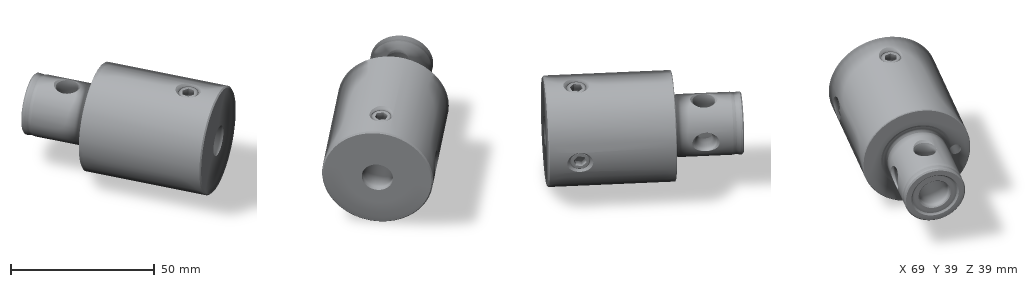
import cadquery as cq
import math

TOTAL_LENGTH = 69.0
SHOULDER_X = 24.1
BODY_RADIUS = 39.0 / 2
FRONT_CHAMFER = 0.3
REAR_CHAMFER = 0.5
SHANK_RADIUS = 22.0 / 2
NECK_RADIUS = 21.6 / 2
NOSE_CHAMFER = 0.5

GROOVE_START_X = 1.2
GROOVE_BOTTOM_X = 2.6
GROOVE_END_X = 3.8

NECK_TAPER_START_X = 22.55
NECK_START_X = 23.2
NECK_FILLET = 0.4
RECESS_DEPTH = 0.2
RECESS_RADIUS = 25.9 / 2
RECESS_FLOOR_RADIUS = 24.4 / 2

BORE_RADIUS = 11.0 / 2
BORE_CHAMFER = 0.35
MOUTH_RADIUS = 17.2 / 2
MOUTH_FLOOR_RADIUS = 15.95 / 2
MOUTH_DEPTH = MOUTH_RADIUS - MOUTH_FLOOR_RADIUS

SEAT_X = 13.4
SEAT_RADIUS = 8.0 / 2
SEAT_TAPER_ANGLE = 34.0
SEAT_BOTTOM_HEIGHT = 4.15
SEAT_RIM_HEIGHT = math.sqrt(SHANK_RADIUS**2 - SEAT_RADIUS**2)

DRIVE_HOLE_RADIUS = 4.1 / 2
DRIVE_HOLE_Y = -14.1
DRIVE_HOLE_DEPTH = 6.9
DRILL_POINT_ANGLE = 118.0

SCREW_X = 57.95
SCREW_RADIUS = 6.9 / 2
SCREW_TOP_HEIGHT = 18.35
SCREW_LENGTH = 6.9
SCREW_CHAMFER = 0.2
SCREW_SINK_HEIGHT = 18.4
SOCKET_FLATS = 4.0
SOCKET_DEPTH = 2.75
SOCKET_TURN = -12.5

RADIAL_ANGLES = (0.0, -90.0)


def turned_about_x(solid, angle):
    return solid.rotate((0, 0, 0), (1, 0, 0), angle)


def revolved_upright(points, x):
    """Revolve (radius, height) points about the vertical line at x."""
    return cq.Workplane("XZ").polyline(points).close().revolve(360, (0, 0), (0, 1)).translate((x, 0, 0))


def turned_body():
    recess_floor_x = SHOULDER_X + RECESS_DEPTH
    fillet_radius_inset = NECK_FILLET * (1 - math.sqrt(0.5))
    return (
        cq.Workplane("XY")
        .moveTo(MOUTH_DEPTH + BORE_CHAMFER, BORE_RADIUS)
        .lineTo(MOUTH_DEPTH, BORE_RADIUS + BORE_CHAMFER)
        .lineTo(MOUTH_DEPTH, MOUTH_FLOOR_RADIUS)
        .lineTo(0, MOUTH_RADIUS)
        .lineTo(0, SHANK_RADIUS - NOSE_CHAMFER)
        .lineTo(NOSE_CHAMFER, SHANK_RADIUS)
        .lineTo(GROOVE_START_X, SHANK_RADIUS)
        .lineTo(GROOVE_BOTTOM_X, NECK_RADIUS)
        .lineTo(GROOVE_END_X, SHANK_RADIUS)
        .lineTo(NECK_TAPER_START_X, SHANK_RADIUS)
        .lineTo(NECK_START_X, NECK_RADIUS)
        .lineTo(recess_floor_x - NECK_FILLET, NECK_RADIUS)
        .threePointArc(
            (recess_floor_x - fillet_radius_inset, NECK_RADIUS + fillet_radius_inset),
            (recess_floor_x, NECK_RADIUS + NECK_FILLET),
        )
        .lineTo(recess_floor_x, RECESS_FLOOR_RADIUS)
        .lineTo(SHOULDER_X, RECESS_RADIUS)
        .lineTo(SHOULDER_X, BODY_RADIUS - FRONT_CHAMFER)
        .lineTo(SHOULDER_X + FRONT_CHAMFER, BODY_RADIUS)
        .lineTo(TOTAL_LENGTH - REAR_CHAMFER, BODY_RADIUS)
        .lineTo(TOTAL_LENGTH, BODY_RADIUS - REAR_CHAMFER)
        .lineTo(TOTAL_LENGTH, BORE_RADIUS)
        .close()
        .revolve(360, (0, 0), (1, 0))
    )


def seat_cutter():
    countersink_top = SEAT_RIM_HEIGHT + SEAT_RADIUS
    taper_length = SEAT_RIM_HEIGHT - SEAT_BOTTOM_HEIGHT
    bottom_radius = SEAT_RADIUS - taper_length * math.tan(math.radians(SEAT_TAPER_ANGLE / 2))
    return revolved_upright(
        [
            (0, SEAT_BOTTOM_HEIGHT),
            (bottom_radius, SEAT_BOTTOM_HEIGHT),
            (SEAT_RADIUS, SEAT_RIM_HEIGHT),
            (2 * SEAT_RADIUS, countersink_top),
            (0, countersink_top),
        ],
        SEAT_X,
    )


def screw_hole_cutter():
    countersink_top = SCREW_SINK_HEIGHT + SCREW_RADIUS
    hole_bottom = SCREW_TOP_HEIGHT - SCREW_LENGTH
    return revolved_upright(
        [
            (0, hole_bottom),
            (SCREW_RADIUS, hole_bottom),
            (SCREW_RADIUS, SCREW_SINK_HEIGHT),
            (2 * SCREW_RADIUS, countersink_top),
            (0, countersink_top),
        ],
        SCREW_X,
    )


def drive_hole_cutter():
    point_length = DRIVE_HOLE_RADIUS / math.tan(math.radians(DRILL_POINT_ANGLE / 2))
    return (
        cq.Workplane("XY")
        .polyline(
            [
                (0, 0),
                (0, DRIVE_HOLE_RADIUS),
                (DRIVE_HOLE_DEPTH, DRIVE_HOLE_RADIUS),
                (DRIVE_HOLE_DEPTH + point_length, 0),
            ]
        )
        .close()
        .revolve(360, (0, 0), (1, 0))
        .translate((SHOULDER_X, DRIVE_HOLE_Y, 0))
    )


def make_adapter():
    adapter = turned_body().cut(drive_hole_cutter())
    for angle in RADIAL_ANGLES:
        adapter = adapter.cut(turned_about_x(seat_cutter(), angle))
        adapter = adapter.cut(turned_about_x(screw_hole_cutter(), angle))
    return adapter


def make_set_screw(angle):
    socket_corners = SOCKET_FLATS / math.cos(math.pi / 6)
    socket = (
        cq.Workplane("XY")
        .polygon(6, socket_corners)
        .extrude(-SOCKET_DEPTH)
        .rotate((0, 0, 0), (0, 0, 1), SOCKET_TURN)
    )
    screw = (
        cq.Workplane("XY")
        .circle(SCREW_RADIUS)
        .extrude(-SCREW_LENGTH)
        .faces(">Z")
        .chamfer(SCREW_CHAMFER)
        .cut(socket)
        .translate((SCREW_X, 0, SCREW_TOP_HEIGHT))
    )
    return turned_about_x(screw, angle)


adapter = make_adapter()
set_screws = [make_set_screw(angle) for angle in RADIAL_ANGLES]

result = cq.Compound.makeCompound([adapter.val(), *[screw.val() for screw in set_screws]])